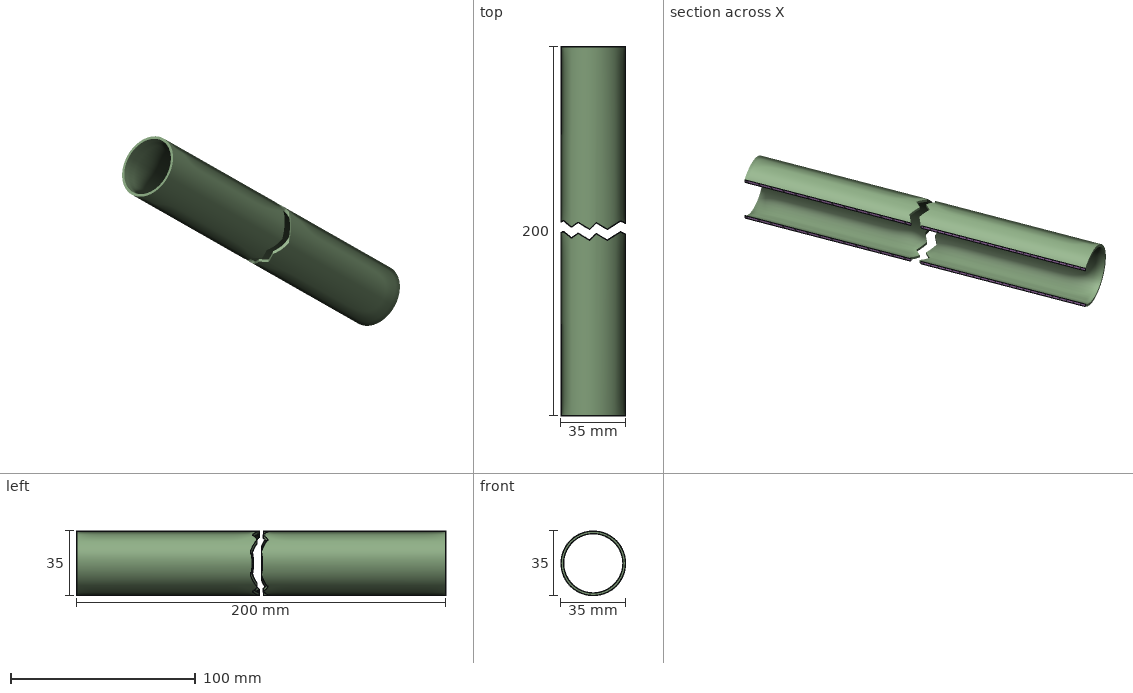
import cadquery as cq

tube_length = 200.0
outer_diameter = 35.0
inner_diameter = 32.0
half_length = tube_length / 2
outer_radius = outer_diameter / 2

break_corners = [
    (-outer_radius, 5.0),
    (-16.2, 5.8),
    (-11.8, 2.2),
    (-8.2, 4.8),
    (-2.0, 1.0),
    (1.5, 4.5),
    (7.5, 1.0),
    (14.8, 5.5),
    (outer_radius, 4.2),
]
break_gap = 5.8


def make_tube():
    """Full-length plain tube along Y."""
    return (
        cq.Workplane("XZ", origin=(0, half_length, 0))
        .circle(outer_radius)
        .circle(inner_diameter / 2)
        .extrude(tube_length)
    )


def make_tube_piece(end_y, edge_shift):
    """Part of the tube between the flat end at end_y and the jagged edge, cut straight along Z."""
    edge = [(x, y + edge_shift) for x, y in break_corners]
    outline = edge + [(outer_radius, end_y), (-outer_radius, end_y)]
    keep_block = cq.Workplane("XY").polyline(outline).close().extrude(outer_radius, both=True)
    return make_tube().intersect(keep_block)


rear_piece = make_tube_piece(half_length, 0)
front_piece = make_tube_piece(-half_length, -break_gap)

result = cq.Compound.makeCompound([rear_piece.solids().val(), front_piece.solids().val()])